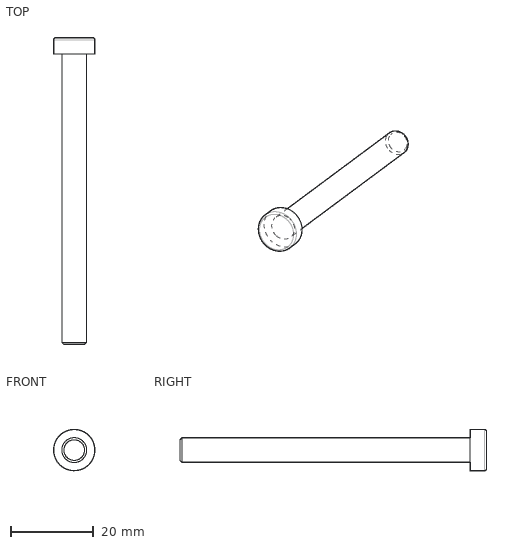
import cadquery as cq

total_length = 74.0
head_diameter = 10.0
head_thickness = 4.0
head_edge_radius = 0.5
shank_diameter = 6.0
tip_chamfer = 0.5

half_length = total_length / 2
shank_length = total_length - head_thickness


def make_shank():
    """Round shank with a chamfered tip at the -Y end."""
    shank = (
        cq.Workplane("XZ", origin=(0, -half_length, 0))
        .circle(shank_diameter / 2)
        .extrude(-shank_length)
    )
    return shank.faces("<Y").edges().chamfer(tip_chamfer)


def make_head():
    """Round head with a rounded outer rim at the +Y end."""
    head = (
        cq.Workplane("XZ", origin=(0, half_length, 0))
        .circle(head_diameter / 2)
        .extrude(head_thickness)
    )
    return head.faces(">Y").edges().fillet(head_edge_radius)


result = make_shank().union(make_head())